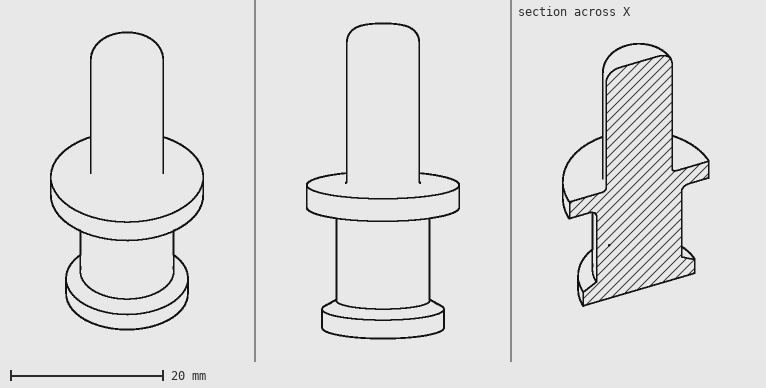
import cadquery as cq

total_height = 40.0
foot_rim_height = 2.5
foot_cone_top = 3.6
collar_bottom = 16.0
collar_thickness = 3.0
collar_top = collar_bottom + collar_thickness

foot_radius = 8.0
neck_radius = 6.1
collar_radius = 10.0
pin_radius = 4.75

neck_fillet = 1.0
pin_root_fillet = 0.5
pin_tip_fillet = 2.0

profile = (
    cq.Workplane("XZ")
    .lineTo(foot_radius, 0)
    .lineTo(foot_radius, foot_rim_height)
    .lineTo(neck_radius, foot_cone_top)
    .lineTo(neck_radius, collar_bottom - neck_fillet)
    .radiusArc((neck_radius + neck_fillet, collar_bottom), neck_fillet)
    .lineTo(collar_radius, collar_bottom)
    .lineTo(collar_radius, collar_top)
    .lineTo(pin_radius + pin_root_fillet, collar_top)
    .radiusArc((pin_radius, collar_top + pin_root_fillet), pin_root_fillet)
    .lineTo(pin_radius, total_height - pin_tip_fillet)
    .radiusArc((pin_radius - pin_tip_fillet, total_height), -pin_tip_fillet)
    .lineTo(0, total_height)
    .close()
)

result = profile.revolve(360, (0, 0, 0), (0, 1, 0))